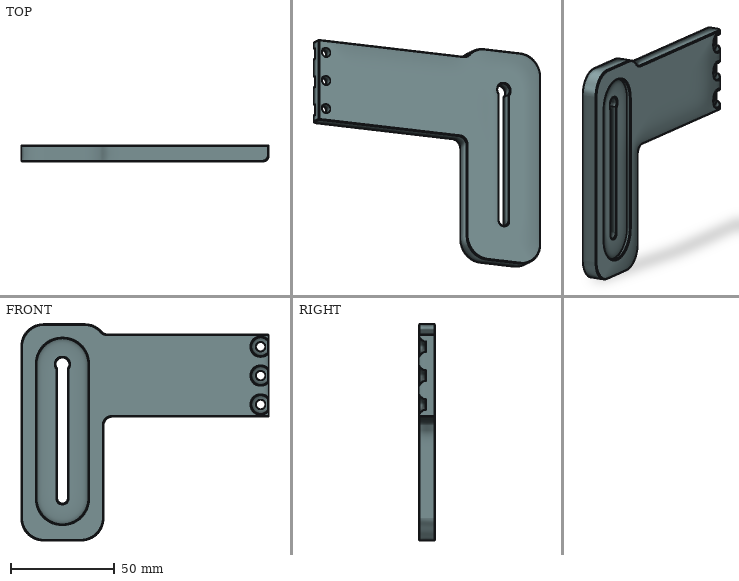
import cadquery as cq
import math

thickness = 8.0
body_width = 40.0
body_height = 105.0
overall_length = 120.0
arm_bottom = 60.0
arm_top = 100.0

corner_radius = 11.0
shoulder_center_x = 30.7
shoulder_blend_radius = 4.0
inner_corner_radius = 4.0
arm_end_radius = 3.0
edge_chamfer = 0.5

slot_x = body_width / 2
slot_low_z = 20.5
slot_high_z = 85.5
slot_width = 5.0
keyhole_diameter = 6.5
recess_width = 25.0
recess_depth = 2.0
recess_chamfer = 0.5
slot_chamfer = 0.5

hole_end_distance = 4.0
hole_x = overall_length - hole_end_distance
hole_pitch = 14.0
hole_count = 3
hole_diameter = 4.5
counterbore_diameter = 9.0
counterbore_depth = 3.2
counterbore_chamfer = 0.5

arm_center_z = (arm_bottom + arm_top) / 2


def front_plane():
    """Sketch plane on the front face; a negative extrusion goes +Y, into the part."""
    return cq.Workplane("XZ")


def arc_point(center, radius, degrees):
    """Point on a circle, with the angle measured from +X towards +Z."""
    angle = math.radians(degrees)
    return (center[0] + radius * math.cos(angle), center[1] + radius * math.sin(angle))


def make_plate():
    """L-shaped plate with rounded corners, a rounded arm end and chamfered rims."""
    shoulder_center = (shoulder_center_x, body_height - corner_radius)
    blend_z = arm_top + shoulder_blend_radius
    center_distance = corner_radius + shoulder_blend_radius
    rise = blend_z - shoulder_center[1]
    blend_center = (shoulder_center_x + math.sqrt(center_distance**2 - rise**2), blend_z)
    tangent_angle = math.degrees(math.asin(rise / center_distance))
    shoulder_mid_angle = (90 + tangent_angle) / 2
    blend_mid_angle = (180 + tangent_angle + 270) / 2

    low_left = (corner_radius, corner_radius)
    low_right = (body_width - corner_radius, corner_radius)
    high_left = (corner_radius, body_height - corner_radius)
    under_arm = (body_width + inner_corner_radius, arm_bottom - inner_corner_radius)

    outline = (
        front_plane()
        .moveTo(corner_radius, 0)
        .lineTo(body_width - corner_radius, 0)
        .threePointArc(arc_point(low_right, corner_radius, 315), (body_width, corner_radius))
        .lineTo(body_width, under_arm[1])
        .threePointArc(arc_point(under_arm, inner_corner_radius, 135), (under_arm[0], arm_bottom))
        .lineTo(overall_length, arm_bottom)
        .lineTo(overall_length, arm_top)
        .lineTo(blend_center[0], arm_top)
        .threePointArc(
            arc_point(blend_center, shoulder_blend_radius, blend_mid_angle),
            arc_point(shoulder_center, corner_radius, tangent_angle),
        )
        .threePointArc(
            arc_point(shoulder_center, corner_radius, shoulder_mid_angle),
            (shoulder_center_x, body_height),
        )
        .lineTo(corner_radius, body_height)
        .threePointArc(arc_point(high_left, corner_radius, 135), (0, body_height - corner_radius))
        .lineTo(0, corner_radius)
        .threePointArc(arc_point(low_left, corner_radius, 225), (corner_radius, 0))
        .close()
    )
    plate = outline.extrude(-thickness)
    plate = plate.faces(">X").edges("<Y").fillet(arm_end_radius)
    plate = plate.faces("<Y").edges("not(>X)").chamfer(edge_chamfer)
    return plate.faces(">Y").edges().chamfer(edge_chamfer)


def obround(width, depth):
    """Vertical obround prism on the slot centre line, from the front face to the given depth."""
    middle_z = (slot_low_z + slot_high_z) / 2
    total_height = slot_high_z - slot_low_z + width
    return front_plane().center(slot_x, middle_z).slot2D(total_height, width, 90).extrude(-depth)


def edges_inside(x_range, y_range, z_range):
    """Selector for the edges that lie wholly inside the given box, widened slightly."""
    slack = 0.1
    low = (x_range[0] - slack, y_range[0] - slack, z_range[0] - slack)
    high = (x_range[1] + slack, y_range[1] + slack, z_range[1] + slack)
    return cq.selectors.BoxSelector(low, high, boundingbox=True)


def slot_rim(radius, depth):
    """Selector for the edges of an obround opening at the given depth."""
    x_range = (slot_x - radius, slot_x + radius)
    z_range = (slot_low_z - radius, slot_high_z + radius)
    return edges_inside(x_range, (depth, depth), z_range)


def cut_slot(part):
    """Cut the chamfered recess, then the chamfered keyhole slot through its floor."""
    part = part.cut(obround(recess_width, recess_depth))
    part = part.edges(slot_rim(recess_width / 2, 0)).chamfer(recess_chamfer)

    slot = obround(slot_width, thickness)
    keyhole = front_plane().center(slot_x, slot_high_z).circle(keyhole_diameter / 2).extrude(-thickness)
    part = part.cut(slot.union(keyhole))
    for rim_depth in (recess_depth, thickness):
        part = part.edges(slot_rim(keyhole_diameter / 2, rim_depth)).chamfer(slot_chamfer)
    return part


def cut_screw_hole(part, center_z):
    """Cut a through hole with a chamfered counterbore that breaks out of the arm end."""
    axis = front_plane().center(hole_x, center_z)
    part = part.cut(axis.circle(hole_diameter / 2).extrude(-thickness))
    part = part.cut(axis.circle(counterbore_diameter / 2).extrude(-counterbore_depth))

    radius = counterbore_diameter / 2
    z_range = (center_z - radius, center_z + radius)
    front_rim = edges_inside((hole_x - radius, overall_length), (0, arm_end_radius), z_range)
    end_rim = edges_inside((overall_length, overall_length), (0, counterbore_depth), z_range)
    return part.edges(front_rim + end_rim).chamfer(counterbore_chamfer)


result = cut_slot(make_plate())
for index in range(hole_count):
    offset = (index - (hole_count - 1) / 2) * hole_pitch
    result = cut_screw_hole(result, arm_center_z + offset)